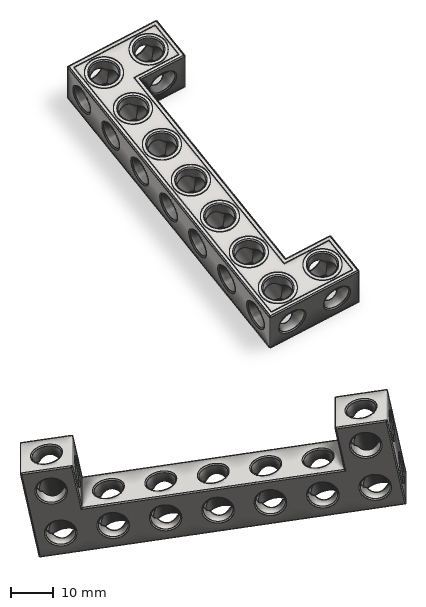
import cadquery as cq

length = 87.5
columns = 7
rows = 2
pitch = length / columns
depth = rows * pitch
height = pitch

hole_diameter = 7.0
chamfer_size = 0.31

corner_radius = chamfer_size

rim_width = 1.1
recess_depth = 0.2
collar_diameter = 9.2

column_places = [(i - (columns - 1) / 2) * pitch for i in range(columns)]
row_places = [(j - (rows - 1) / 2) * pitch for j in range(rows)]
front_row, back_row = row_places
end_columns = (column_places[0], column_places[-1])

top_centres = [(x, front_row) for x in column_places] + [(x, back_row) for x in end_columns]


def u_prism(inset, bottom, top):
    """U-shaped prism whose outline lies a given distance inside the beam outline."""
    outer_x = length / 2 - inset
    inner_x = length / 2 - pitch + inset
    front_y = -depth / 2 + inset
    floor_y = -inset
    back_y = depth / 2 - inset
    outline = [
        (-outer_x, front_y),
        (outer_x, front_y),
        (outer_x, back_y),
        (inner_x, back_y),
        (inner_x, floor_y),
        (-inner_x, floor_y),
        (-inner_x, back_y),
        (-outer_x, back_y),
    ]
    return cq.Workplane("XY").workplane(offset=bottom).polyline(outline).close().extrude(top - bottom)


def chamfered_hole(start, direction, span):
    """Cutter for a through hole with a small chamfer at both mouths."""
    radius = hole_diameter / 2
    mouth_radius = radius + chamfer_size
    drill = cq.Solid.makeCylinder(radius, span, start, direction)
    end = start + direction * span
    entry = cq.Solid.makeCone(mouth_radius, radius, chamfer_size, start, direction)
    leave = cq.Solid.makeCone(mouth_radius, radius, chamfer_size, end, direction * -1)
    return drill.fuse(entry, leave)


def edged_body():
    """Solid beam with rounded vertical edges and chamfered top and bottom outlines."""
    body = u_prism(0, -height / 2, height / 2)
    inner_corner_x = length / 2 - pitch
    inner_corners = cq.selectors.BoxSelector(
        (-inner_corner_x - corner_radius, -corner_radius, -corner_radius),
        (inner_corner_x + corner_radius, corner_radius, corner_radius),
    )
    vertical_edges = cq.selectors.ParallelDirSelector(cq.Vector(0, 0, 1))
    rounded = body.edges(vertical_edges - inner_corners).fillet(corner_radius)
    return rounded.faces("<Z or >Z").edges().chamfer(chamfer_size)


def top_recess():
    """Cutter for the sunken top panel, leaving the rim and the hole collars."""
    floor = height / 2 - recess_depth
    panel = u_prism(rim_width, floor, height / 2)
    collars = (
        cq.Workplane("XY").workplane(offset=floor)
        .pushPoints(top_centres)
        .circle(collar_diameter / 2)
        .extrude(recess_depth)
    )
    return panel.cut(collars)


result = edged_body().cut(top_recess())

for x, y in top_centres:
    result = result.cut(chamfered_hole(cq.Vector(x, y, -height / 2), cq.Vector(0, 0, 1), height))

for x in column_places:
    span = depth if x in end_columns else pitch
    result = result.cut(chamfered_hole(cq.Vector(x, -depth / 2, 0), cq.Vector(0, 1, 0), span))

x_axis = cq.Vector(1, 0, 0)
result = result.cut(chamfered_hole(cq.Vector(-length / 2, front_row, 0), x_axis, length))
for x in end_columns:
    result = result.cut(chamfered_hole(cq.Vector(x - pitch / 2, back_row, 0), x_axis, pitch))